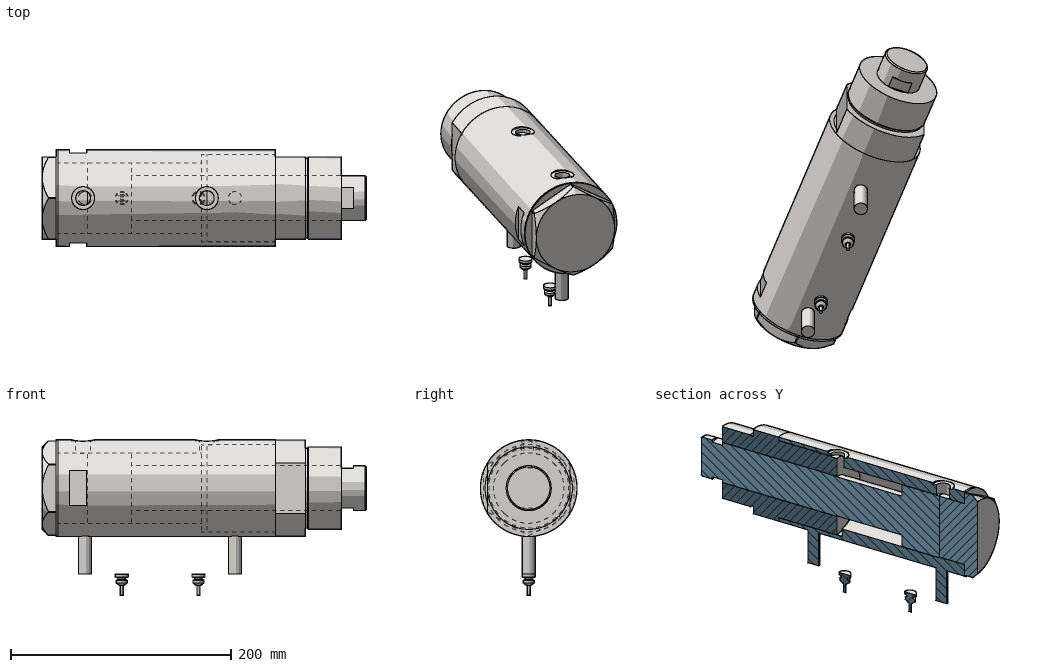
import cadquery as cq
import math


BODY_DIAMETER = 88.0
BODY_RADIUS = BODY_DIAMETER / 2
BORE_RADIUS = 32.0
WRENCH_SIZE = 75.0
OVERALL_LENGTH = 294.3
OVERALL_HEIGHT = 141.5

HEX_LENGTH = 12.6
HEX_CORNER_DIAMETER = 86.0
HEX_CHAMFER = (HEX_CORNER_DIAMETER - WRENCH_SIZE) / 2
CAP_FLANGE_LENGTH = 1.9
CAP_FLANGE_END = HEX_LENGTH + CAP_FLANGE_LENGTH
CAP_SPIGOT_END = 41.0

GLAND_SPIGOT_RADIUS = 39.7
GLAND_SEAT_START = 144.5
GLAND_SPIGOT_START = 149.5
GLAND_FLANGE_START = 211.7
GLAND_FLANGE_END = 239.1
COLLAR_RADIUS = WRENCH_SIZE / 2
COLLAR_END = 271.8
GROOVE_DEPTH = 1.2
GROOVE_FLOOR_LENGTH = 1.6

ROD_RADIUS = 20.5
ROD_FLAT_WIDTH = 36.4
ROD_FLAT_END = 282.5
ROD_CHAMFER = 1.2
PISTON_LENGTH = 40.0

PORT_POSITIONS = (37.1, GLAND_SPIGOT_START)
PORT_DIAMETER = 13.4
SPOTFACE_DIAMETER = 20.8
SPOTFACE_HEIGHT = 42.7

RECESS_START = 24.9
RECESS_LENGTH = 15.5
RECESS_HEIGHT = 32.0
RECESS_DEPTH = 3.0

PIN_POSITIONS = (38.8, 175.1)
PIN_DIAMETER = 12.0
PIN_END_HEIGHT = -78.0

PLUG_POSITIONS = (72.2, 141.9)
PLUG_BOTTOM = BODY_RADIUS - OVERALL_HEIGHT
PLUG_HEIGHT = PIN_END_HEIGHT - PLUG_BOTTOM
PLUG_HEAD_RADIUS = 6.0
PLUG_NECK_RADIUS = 3.4
PLUG_BARB_RADIUS = 5.2
PLUG_TIP_RADIUS = 2.2
PLUG_STEM_RADIUS = 1.4
PLUG_RIM_END = 2.7
PLUG_NECK_START = 3.6
PLUG_NECK_END = 4.8
PLUG_BARB_START = 5.8
PLUG_BARB_END = 8.0
PLUG_TIP_END = 10.4


def rod_along_x(start, end, radius):
    """Solid cylinder on the X axis between two X positions."""
    return cq.Workplane("YZ").workplane(offset=start).circle(radius).extrude(end - start)


def outside_width(start, end, width, axis):
    """Two blocks that leave only a given width, measured along "Y" or "Z", about the X axis."""
    length = end - start
    middle = (start + end) / 2
    size = BODY_DIAMETER
    offset = (width + size) / 2
    shifts = [(middle, side * offset) for side in (-1, 1)]
    plane = "XY" if axis == "Y" else "XZ"
    return cq.Workplane(plane).pushPoints(shifts).rect(length, size).extrude(size / 2, both=True)


def make_cap():
    corner_to_corner = WRENCH_SIZE / math.cos(math.pi / 6)
    hexagon = (
        cq.Workplane("YZ")
        .transformed(rotate=(0, 0, 90))
        .polygon(6, corner_to_corner)
        .extrude(HEX_LENGTH)
    )
    turned = rod_along_x(0, HEX_LENGTH, HEX_CORNER_DIAMETER / 2).faces("<X").chamfer(HEX_CHAMFER)
    flange = rod_along_x(HEX_LENGTH, CAP_FLANGE_END, BODY_RADIUS)
    spigot = rod_along_x(CAP_FLANGE_END, CAP_SPIGOT_END, BORE_RADIUS)
    return hexagon.intersect(turned).union(flange).union(spigot)


def make_housing():
    housing = rod_along_x(CAP_FLANGE_END, GLAND_FLANGE_START, BODY_RADIUS)

    pin_points = [(x, 0) for x in PIN_POSITIONS]
    pins = cq.Workplane("XY").pushPoints(pin_points).circle(PIN_DIAMETER / 2).extrude(PIN_END_HEIGHT)
    housing = housing.union(pins)

    housing = housing.cut(rod_along_x(CAP_FLANGE_END, GLAND_FLANGE_START, BORE_RADIUS))
    housing = housing.cut(rod_along_x(GLAND_SEAT_START, GLAND_FLANGE_START, GLAND_SPIGOT_RADIUS))

    port_points = [(x, 0) for x in PORT_POSITIONS]
    ports = cq.Workplane("XY").pushPoints(port_points).circle(PORT_DIAMETER / 2).extrude(BODY_RADIUS)
    spotfaces = (
        cq.Workplane("XY")
        .workplane(offset=SPOTFACE_HEIGHT)
        .pushPoints(port_points)
        .circle(SPOTFACE_DIAMETER / 2)
        .extrude(BODY_RADIUS - SPOTFACE_HEIGHT)
    )
    housing = housing.cut(ports).cut(spotfaces)

    for side in (-1, 1):
        recess = cq.Workplane("XY").box(RECESS_LENGTH, 2 * RECESS_DEPTH, RECESS_HEIGHT)
        recess = recess.translate((RECESS_START + RECESS_LENGTH / 2, side * BODY_RADIUS, 0))
        housing = housing.cut(recess)
    return housing


def make_gland():
    spigot = rod_along_x(GLAND_SPIGOT_START, GLAND_FLANGE_START, GLAND_SPIGOT_RADIUS)
    flange = rod_along_x(GLAND_FLANGE_START, GLAND_FLANGE_END, BODY_RADIUS)
    flange = flange.cut(outside_width(GLAND_FLANGE_START, GLAND_FLANGE_END, WRENCH_SIZE, "Y"))

    groove_radius = COLLAR_RADIUS - GROOVE_DEPTH
    slope_start = GLAND_FLANGE_END + GROOVE_FLOOR_LENGTH
    groove = rod_along_x(GLAND_FLANGE_END, slope_start, groove_radius)
    collar = rod_along_x(slope_start, COLLAR_END, COLLAR_RADIUS).faces("<X").chamfer(GROOVE_DEPTH)

    gland = spigot.union(flange).union(groove).union(collar)
    return gland.cut(rod_along_x(GLAND_SPIGOT_START, COLLAR_END, ROD_RADIUS))


def make_piston_rod():
    piston = rod_along_x(CAP_SPIGOT_END, CAP_SPIGOT_END + PISTON_LENGTH, BORE_RADIUS)
    rod = rod_along_x(CAP_SPIGOT_END, OVERALL_LENGTH, ROD_RADIUS).faces(">X").chamfer(ROD_CHAMFER)
    rod = rod.cut(outside_width(COLLAR_END, ROD_FLAT_END, ROD_FLAT_WIDTH, "Z"))
    return piston.union(rod)


def make_plug(x):
    """Turned plug: head, neck, barb and a thin stem, given as (radius, distance below the head)."""
    profile = [
        (0, 0),
        (PLUG_HEAD_RADIUS, 0),
        (PLUG_HEAD_RADIUS, PLUG_RIM_END),
        (PLUG_NECK_RADIUS, PLUG_NECK_START),
        (PLUG_NECK_RADIUS, PLUG_NECK_END),
        (PLUG_BARB_RADIUS, PLUG_BARB_START),
        (PLUG_BARB_RADIUS, PLUG_BARB_END),
        (PLUG_TIP_RADIUS, PLUG_TIP_END),
        (PLUG_STEM_RADIUS, PLUG_TIP_END),
        (PLUG_STEM_RADIUS, PLUG_HEIGHT),
        (0, PLUG_HEIGHT),
    ]
    outline = [(radius, -depth) for radius, depth in profile]
    plug = cq.Workplane("XZ").polyline(outline).close().revolve(360, (0, 0, 0), (0, 1, 0))
    return plug.translate((x, 0, PIN_END_HEIGHT))


cap = make_cap()
housing = make_housing()
gland = make_gland()
piston_rod = make_piston_rod()
plugs = [make_plug(x) for x in PLUG_POSITIONS]

result = cq.Compound.makeCompound(
    [cap.val(), housing.val(), gland.val(), piston_rod.val(), *[plug.val() for plug in plugs]]
)